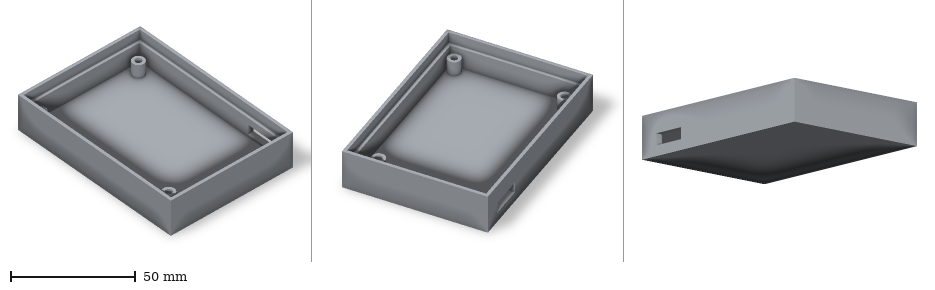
import cadquery as cq

LENGTH = 91.5
WIDTH = 65.8
HEIGHT = 18.0

WALL = 3.0
LIP_WALL = 1.6
FLOOR = 3.0
LIP_DEPTH = 5.0

POST_DIAMETER = 6.0
POST_HOLE_DIAMETER = 3.2
POST_HEIGHT = 6.95
POST_CENTRES = [(-37.3, 24.3), (-39.6, -26.5), (33.3, -22.8)]

WINDOW_LENGTH = 15.0
WINDOW_HEIGHT = 4.9
WINDOW_CORNER_GAP = 5.5
WINDOW_SILL = 1.5


def block(length, width, height, base_z):
    """Box centred on the Z axis, rising from base_z."""
    return cq.Workplane("XY").workplane(offset=base_z).box(
        length, width, height, centered=(True, True, False)
    )


def make_tray():
    tray = block(LENGTH, WIDTH, HEIGHT, 0)
    cavity = block(LENGTH - 2 * WALL, WIDTH - 2 * WALL, HEIGHT - FLOOR, FLOOR)
    lip_recess = block(
        LENGTH - 2 * LIP_WALL, WIDTH - 2 * LIP_WALL, LIP_DEPTH, HEIGHT - LIP_DEPTH
    )
    return tray.cut(cavity).cut(lip_recess)


def make_window():
    right_side = LENGTH / 2 - WALL - WINDOW_CORNER_GAP
    opening = cq.Workplane("XY").box(WINDOW_LENGTH, WALL, WINDOW_HEIGHT, centered=False)
    return opening.translate((right_side - WINDOW_LENGTH, WIDTH / 2 - WALL, FLOOR + WINDOW_SILL))


def post_cylinders(diameter):
    """One cylinder per screw post, from the floor to the post top."""
    return (
        cq.Workplane("XY")
        .workplane(offset=FLOOR)
        .pushPoints(POST_CENTRES)
        .circle(diameter / 2)
        .extrude(POST_HEIGHT)
    )


result = (
    make_tray()
    .cut(make_window())
    .union(post_cylinders(POST_DIAMETER))
    .cut(post_cylinders(POST_HOLE_DIAMETER))
)